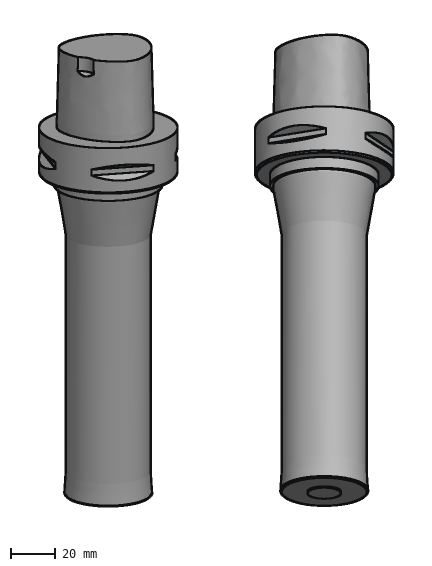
import cadquery as cq
import math

TOP_Z = 213.0
TAPER_BASE_Z = 178.3
FLANGE_TOP_Z = 175.0
FLANGE_BOTTOM_Z = 153.1
JOINT_Z = 147.8
NECK_BOTTOM_Z = 146.5
CONE_BOTTOM_Z = 124.2
HEAD_TOP_Z = 11.3
HEAD_BOTTOM_Z = 0.6

POLYGON_BASE_RADIUS = 22.05
POLYGON_TOP_RADIUS = 21.0
LOBE_HEIGHT = 1.4
OUTLINE_POINTS = 48

FLANGE_RADIUS = 63.0 / 2
COLLAR_RADIUS = 49.5 / 2
FLANGE_CHAMFER = 0.9

SLOT_COUNT = 4
SLOT_FIRST_ANGLE = 45
SLOT_LENGTH = 29.0
SLOT_Z = 163.2
SLOT_FLOOR_HEIGHT = 2.8
SLOT_MOUTH_HEIGHT = 7.5

KEYWAY_RADIUS = 7.0
KEYWAY_INNER_Y = -18.0
KEYWAY_WALL_BOTTOM_Z = 206.5
KEYWAY_TIP_ANGLE = 45

NECK_RADIUS = 46.5 / 2
BAR_RADIUS = 38.8 / 2
HEAD_RADIUS = 20.0
HEAD_CHAMFER = 0.6
BOSS_RADIUS = 7.7


def polygon_outline(z, mean_radius):
    """Closed constant-width three-lobed curve with one lobe pointing to +Y."""
    points = []
    for i in range(OUTLINE_POINTS):
        angle = 2 * math.pi * i / OUTLINE_POINTS
        phase = 3 * (angle - math.pi / 2)
        reach = mean_radius + LOBE_HEIGHT * math.cos(phase)
        slope = -3 * LOBE_HEIGHT * math.sin(phase)
        x = reach * math.cos(angle) - slope * math.sin(angle)
        y = reach * math.sin(angle) + slope * math.cos(angle)
        points.append(cq.Vector(x, y, z))
    return cq.Wire.assembleEdges([cq.Edge.makeSpline(points, periodic=True)])


def make_shank():
    base = polygon_outline(FLANGE_TOP_Z, POLYGON_BASE_RADIUS)
    foot_height = TAPER_BASE_Z - FLANGE_TOP_Z
    foot = cq.Solid.extrudeLinear(base, [], cq.Vector(0, 0, foot_height))
    taper = cq.Solid.makeLoft([
        polygon_outline(TAPER_BASE_Z, POLYGON_BASE_RADIUS),
        polygon_outline(TOP_Z, POLYGON_TOP_RADIUS),
    ], True)
    return cq.Workplane(foot).union(cq.Workplane(taper), clean=False)


def make_keyway_cutter():
    """Round-ended vertical pocket whose floor falls away to a conical tip."""
    tip_z = KEYWAY_WALL_BOTTOM_Z - KEYWAY_RADIUS * math.tan(math.radians(KEYWAY_TIP_ANGLE))
    profile = (
        cq.Workplane("XZ")
        .moveTo(0, tip_z)
        .lineTo(KEYWAY_RADIUS, KEYWAY_WALL_BOTTOM_Z)
        .lineTo(KEYWAY_RADIUS, TOP_Z)
        .lineTo(0, TOP_Z)
        .close()
    )
    axis_y = KEYWAY_INNER_Y - KEYWAY_RADIUS
    return profile.revolve(360, (0, 0), (0, 1)).translate((0, axis_y, 0))


def make_slot_cutter(angle):
    """Straight slot with sloping flanks, cut across the flange rim at an angle."""
    floor_x = math.sqrt(FLANGE_RADIUS**2 - (SLOT_LENGTH / 2) ** 2)
    half_floor = SLOT_FLOOR_HEIGHT / 2
    half_mouth = SLOT_MOUTH_HEIGHT / 2
    return (
        cq.Workplane("XZ")
        .polyline([
            (floor_x, SLOT_Z - half_floor),
            (FLANGE_RADIUS, SLOT_Z - half_mouth),
            (FLANGE_RADIUS, SLOT_Z + half_mouth),
            (floor_x, SLOT_Z + half_floor),
        ])
        .close()
        .extrude(SLOT_LENGTH / 2, both=True)
        .rotate((0, 0, 0), (0, 0, 1), angle)
    )


def make_adapter():
    flange = (
        cq.Workplane("XY", origin=(0, 0, FLANGE_BOTTOM_Z))
        .circle(FLANGE_RADIUS)
        .extrude(FLANGE_TOP_Z - FLANGE_BOTTOM_Z)
        .faces("<Z")
        .chamfer(FLANGE_CHAMFER)
    )
    for i in range(SLOT_COUNT):
        flange = flange.cut(make_slot_cutter(SLOT_FIRST_ANGLE + i * 360 / SLOT_COUNT))
    collar = (
        cq.Workplane("XY", origin=(0, 0, JOINT_Z))
        .circle(COLLAR_RADIUS)
        .extrude(FLANGE_BOTTOM_Z - JOINT_Z)
    )
    shank = make_shank().cut(make_keyway_cutter())
    return flange.union(collar).union(shank)


def make_bar():
    """Turned bar: neck, cone, long shaft, slightly flared head and end boss."""
    return (
        cq.Workplane("XZ")
        .polyline([
            (0, 0),
            (BOSS_RADIUS, 0),
            (BOSS_RADIUS, HEAD_BOTTOM_Z),
            (HEAD_RADIUS - HEAD_CHAMFER, HEAD_BOTTOM_Z),
            (HEAD_RADIUS, HEAD_BOTTOM_Z + HEAD_CHAMFER),
            (BAR_RADIUS, HEAD_TOP_Z),
            (BAR_RADIUS, CONE_BOTTOM_Z),
            (NECK_RADIUS, NECK_BOTTOM_Z),
            (NECK_RADIUS, JOINT_Z),
            (0, JOINT_Z),
        ])
        .close()
        .revolve(360, (0, 0), (0, 1))
    )


adapter = make_adapter()
bar = make_bar()
result = cq.Compound.makeCompound([adapter.solids().val(), bar.val()])